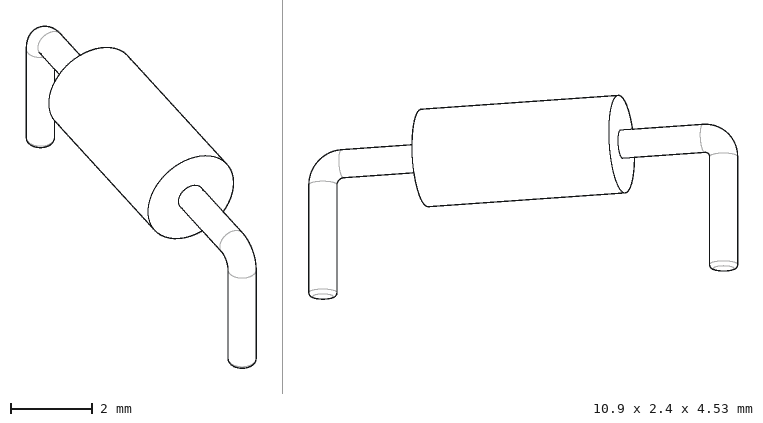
import cadquery as cq

span = 10.86
height = 4.53

body_length = 5.0
body_diameter = 2.4

wire_diameter = 0.7
bend_radius = 0.5
tip_fillet = 0.1

leg_x = span / 2 - wire_diameter / 2
tip_z = body_diameter / 2 - height


def make_body():
    """Cylindrical diode body, centred on the origin."""
    end_face = cq.Workplane("YZ", origin=(-body_length / 2, 0, 0))
    return end_face.circle(body_diameter / 2).extrude(body_length)


def make_wire():
    """One round wire through the body, bent down into a leg at each end."""
    bend_x = leg_x - bend_radius
    path = (
        cq.Workplane("XZ")
        .moveTo(-leg_x, tip_z)
        .lineTo(-leg_x, -bend_radius)
        .radiusArc((-bend_x, 0), bend_radius)
        .lineTo(bend_x, 0)
        .radiusArc((leg_x, -bend_radius), bend_radius)
        .lineTo(leg_x, tip_z)
    )
    wire = cq.Workplane("XY", origin=(-leg_x, 0, tip_z)).circle(wire_diameter / 2).sweep(path)
    return wire.faces("<Z").edges().fillet(tip_fillet)


result = make_body().union(make_wire())